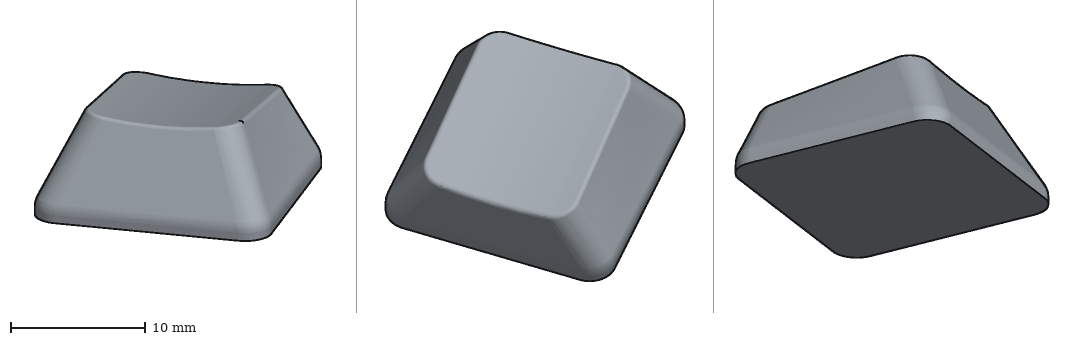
import cadquery as cq
import math

base_size = 18.16
half_base = base_size / 2
base_corner_radius = 2.02
skirt_height = 0.65

bend_top_height = 1.38
bend_height = bend_top_height - skirt_height
bend_steps = 3
side_lean = 27.0
front_lean = 28.0
back_lean = 4.5

top_tilt = 7.1
blank_front_height = 7.99
blank_back_height = 6.27
blank_top_width = 11.73
blank_top_corner_radius = 1.85

dish_radius = 34.5
dish_front_y = -5.45
dish_front_z = 7.2
dish_length = 54.48
top_edge_radius = 0.33


def wall_offset(lean, height):
    """Distance of a wall from the centre plane at the given height."""
    angle = math.radians(lean)
    bend_radius = bend_height / math.sin(angle)
    rise = min(height, bend_top_height) - skirt_height
    bend_inset = bend_radius - math.sqrt(bend_radius**2 - rise**2)
    straight_inset = max(height - bend_top_height, 0) * math.tan(angle)
    return half_base - bend_inset - straight_inset


def make_outline(x_size, y_size, corner_radius):
    """Level rounded rectangle centred on the origin."""
    rectangle = cq.Wire.makePolygon(
        [
            cq.Vector(x_sign * x_size / 2, y_sign * y_size / 2, 0)
            for x_sign, y_sign in ((-1, -1), (1, -1), (1, 1), (-1, 1))
        ],
        close=True,
    )
    return rectangle.fillet2D(corner_radius, rectangle.Vertices())


def make_level_outline(height):
    """Outline of the skirt or bend at the given height."""
    side = wall_offset(side_lean, height)
    front = -wall_offset(front_lean, height)
    back = wall_offset(back_lean, height)
    outline = make_outline(2 * side, back - front, base_corner_radius)
    return outline.translate(cq.Vector(0, (front + back) / 2, height))


def make_top_outline():
    """Outline of the blank's top, tilted like the dish, with parallel sides."""
    tilt = math.radians(top_tilt)
    front = -wall_offset(front_lean, blank_front_height)
    back = wall_offset(back_lean, blank_back_height)
    length = (back - front) / math.cos(tilt)
    middle_height = blank_front_height - (back - front) / 2 * math.tan(tilt)
    outline = make_outline(blank_top_width, length, blank_top_corner_radius)
    outline = outline.rotate(cq.Vector(0, 0, 0), cq.Vector(1, 0, 0), -top_tilt)
    return outline.translate(cq.Vector(0, (front + back) / 2, middle_height))


def make_blank():
    """Skirt, rounded band and leaning walls, left tall enough to cut the top from."""
    bend_outlines = [
        make_level_outline(skirt_height + bend_height * step / bend_steps)
        for step in range(bend_steps + 1)
    ]
    skirt_outline = bend_outlines[0]
    bend_outline = bend_outlines[-1]
    top_outline = make_top_outline()
    base_outline = skirt_outline.translate(cq.Vector(0, 0, -skirt_height))
    skirt = cq.Solid.makeLoft([base_outline, skirt_outline], True)
    bend = cq.Solid.makeLoft(bend_outlines)
    walls = cq.Solid.makeLoft([bend_outline, top_outline], True)
    return cq.Workplane(skirt).union(cq.Workplane(bend)).union(cq.Workplane(walls))


def make_dish_cutter():
    """Long cylinder that scoops the top surface."""
    tilt = math.radians(top_tilt)
    along = cq.Vector(0, math.cos(tilt), -math.sin(tilt))
    upward = cq.Vector(0, math.sin(tilt), math.cos(tilt))
    lowest_point = cq.Vector(0, dish_front_y, dish_front_z)
    start = lowest_point + upward * dish_radius - along * (dish_length / 2)
    return cq.Workplane(cq.Solid.makeCylinder(dish_radius, dish_length, start, along))


cap = make_blank().cut(make_dish_cutter())
result = cap.faces("%CYLINDER").faces(">Z").edges().fillet(top_edge_radius)